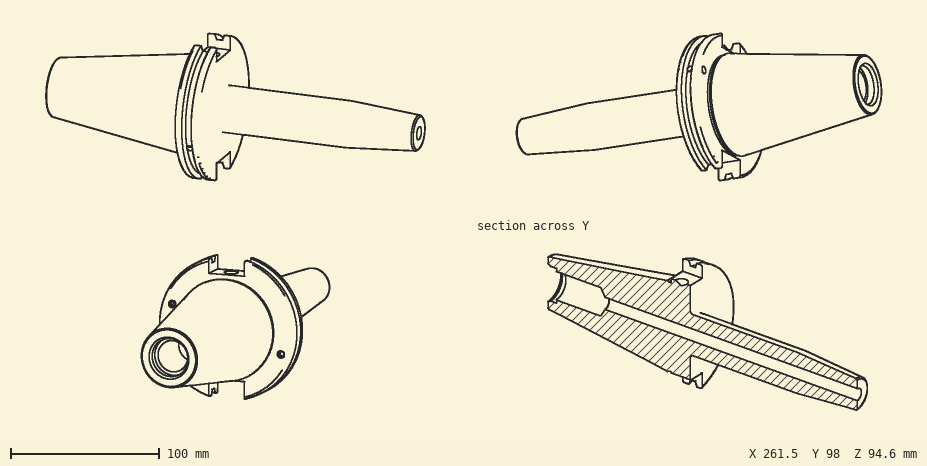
import cadquery as cq
import math

length = 261.5

gauge_diameter = 69.8
taper_length = 101.0
taper_slope = 7 / 48
taper_end_chamfer = 0.8
neck_start = 102.5
neck_diameter = 68.5

flange_start = 104.0
flange_width = 16.5
flange_end = flange_start + flange_width
flange_diameter = 98.0
flange_edge_radius = 1.5
groove_diameter = 91.0
groove_floor_width = 4.0
groove_mouth_width = 6.8
groove_center = flange_start + 8.6

slot_width = 25.6
upper_slot_floor = 37.5
lower_slot_floor = 35.0
dimple_diameter = 9.5
drill_tip_angle = 118.0

shank_diameter = 32.0
shank_root_radius = 1.8
nose_start = 210.8
nose_angle = 4.3
nose_chamfer = 1.0

mouth_diameter = 28.8
pilot_diameter = 26.2
pilot_depth = 7.0
mouth_chamfer_length = 2.4
bore_diameter = 21.5
bore_depth = 44.5
through_diameter = 9.0

port_diameter = 5.0
port_inner_diameter = 3.1
radial_port_diameter = 4.2
port_counterbore_depth = 2.5
port_circle_radius = 41.9
port_angle = 20.0


def cone_height(large_diameter, small_diameter):
    """Axial length of a drill-point cone between two diameters."""
    half_angle = math.radians(drill_tip_angle / 2)
    return (large_diameter - small_diameter) / 2 / math.tan(half_angle)


def revolve_about_x(points):
    """Revolve an (axial position, radius) outline about the X axis."""
    return cq.Workplane("XY").polyline(points).close().revolve(360, (0, 0, 0), (1, 0, 0))


def make_taper():
    large_radius = gauge_diameter / 2
    small_radius = large_radius - taper_slope * taper_length
    chamfer_radius = small_radius + taper_slope * taper_end_chamfer
    return revolve_about_x([
        (0, 0),
        (0, small_radius - taper_end_chamfer),
        (taper_end_chamfer, chamfer_radius),
        (taper_length, large_radius),
        (neck_start, neck_diameter / 2),
        (flange_start, neck_diameter / 2),
        (flange_start, 0),
    ])


def make_flange():
    disc = cq.Workplane("YZ", origin=(flange_start, 0, 0)).circle(flange_diameter / 2)
    disc = disc.extrude(flange_width).edges().fillet(flange_edge_radius)
    groove = revolve_about_x([
        (groove_center - groove_floor_width / 2, groove_diameter / 2),
        (groove_center - groove_mouth_width / 2, flange_diameter / 2),
        (groove_center + groove_mouth_width / 2, flange_diameter / 2),
        (groove_center + groove_floor_width / 2, groove_diameter / 2),
    ])
    return disc.cut(groove)


def make_shank():
    shank_radius = shank_diameter / 2
    nose_slope = math.tan(math.radians(nose_angle))
    chamfer_start = length - nose_chamfer
    tip_radius = shank_radius - nose_slope * (chamfer_start - nose_start)
    root_center = (flange_end + shank_root_radius, shank_radius + shank_root_radius)
    diagonal = shank_root_radius * math.sqrt(0.5)
    return (
        cq.Workplane("XY")
        .moveTo(flange_end, 0)
        .lineTo(flange_end, root_center[1])
        .threePointArc(
            (root_center[0] - diagonal, root_center[1] - diagonal),
            (root_center[0], shank_radius),
        )
        .lineTo(nose_start, shank_radius)
        .lineTo(chamfer_start, tip_radius)
        .lineTo(length, tip_radius - nose_chamfer)
        .lineTo(length, 0)
        .close()
        .revolve(360, (0, 0, 0), (1, 0, 0))
    )


def make_bore():
    cone_end = bore_depth + cone_height(bore_diameter, through_diameter)
    return revolve_about_x([
        (0, 0),
        (0, mouth_diameter / 2),
        (mouth_chamfer_length, pilot_diameter / 2),
        (pilot_depth, pilot_diameter / 2),
        (pilot_depth, bore_diameter / 2),
        (bore_depth, bore_diameter / 2),
        (cone_end, through_diameter / 2),
        (length, through_diameter / 2),
        (length, 0),
    ])


def make_drive_slot(floor, side):
    """Slot across the flange rim; side is +1 for the top and -1 for the bottom."""
    slot_depth = flange_diameter / 2 - floor
    middle = side * (floor + slot_depth / 2)
    return cq.Workplane("XY").box(flange_width, slot_width, slot_depth).translate(
        (flange_start + flange_width / 2, 0, middle)
    )


def make_dimple():
    point = upper_slot_floor - cone_height(dimple_diameter, 0)
    outline = [(0, upper_slot_floor), (dimple_diameter / 2, upper_slot_floor), (0, point)]
    dimple = cq.Workplane("XZ").polyline(outline).close().revolve(360, (0, 0, 0), (0, 1, 0))
    return dimple.translate((groove_center, 0, 0))


def make_coolant_port():
    """Counterbored axial hole met by a radial hole from the groove floor, on the +Y side."""
    face = cq.Workplane("YZ", origin=(flange_start, port_circle_radius, 0))
    mouth = face.circle(port_diameter / 2).extrude(port_counterbore_depth)
    axial = face.circle(port_inner_diameter / 2).extrude(groove_center - flange_start)
    radial = (
        cq.Workplane("XZ", origin=(groove_center, port_circle_radius, 0))
        .circle(radial_port_diameter / 2)
        .extrude(-(flange_diameter / 2 - port_circle_radius))
    )
    return mouth.union(axial).union(radial)


result = make_taper().union(make_flange()).union(make_shank())
result = result.cut(make_bore())
result = result.cut(make_drive_slot(upper_slot_floor, 1))
result = result.cut(make_drive_slot(lower_slot_floor, -1))
result = result.cut(make_dimple())
for half_turn in (0, 180):
    port = make_coolant_port().rotate((0, 0, 0), (1, 0, 0), port_angle + half_turn)
    result = result.cut(port)